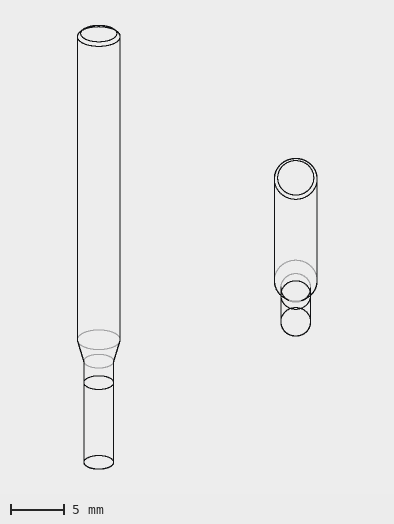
import cadquery as cq

total_length = 45.0
shank_diameter = 4.0
neck_diameter = 2.8
cutter_diameter = neck_diameter

cutter_length = 8.35
neck_length = 2.25
taper_length = 2.25
end_chamfer = 0.3

taper_start = cutter_length + neck_length
shank_start = taper_start + taper_length


def make_cutter():
    """Plain cylindrical cutting head, butted against the end of the neck."""
    return cq.Workplane("XY").circle(cutter_diameter / 2).extrude(cutter_length)


def make_shank():
    """Turned shank: neck, conical taper and chamfered cylinder in one revolve."""
    shank_radius = shank_diameter / 2
    neck_radius = neck_diameter / 2
    return (
        cq.Workplane("XZ")
        .moveTo(0, cutter_length)
        .lineTo(neck_radius, cutter_length)
        .lineTo(neck_radius, taper_start)
        .lineTo(shank_radius, shank_start)
        .lineTo(shank_radius, total_length - end_chamfer)
        .lineTo(shank_radius - end_chamfer, total_length)
        .lineTo(0, total_length)
        .close()
        .revolve(360, (0, 0, 0), (0, 1, 0))
    )


cutter = make_cutter()
shank = make_shank()

result = cq.Compound.makeCompound([cutter.val(), shank.val()])